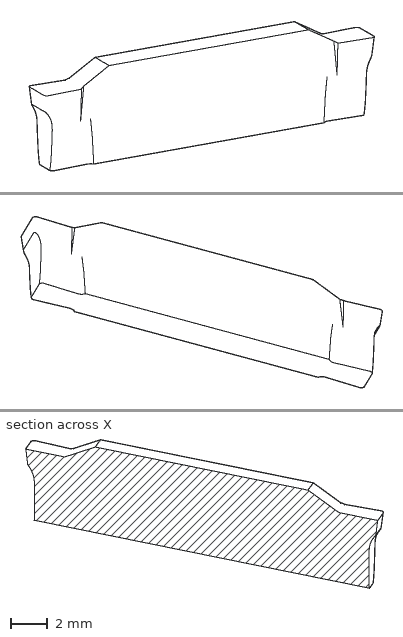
import cadquery as cq
import math


length = 20.65
edge_width = 1.98
height = 5.54
body_width = 1.6

edge_height = 4.5
front_relief_angle = 6.3
side_relief_angle = 3.0
back_taper_angle = 2.5
corner_radius = 0.2

land_bottom = 3.5
hollow_bottom = 2.43
front_setback = 0.5

ramp_angle = 30.0
ramp_start = 2.29
ramp_radius = 0.25

shoulder_start = 2.31
shoulder_angle = 28.0
runout_start = 2.8
runout_radius = 0.42

margin = 1.0

half_length = length / 2
front_slope = math.tan(math.radians(front_relief_angle))
side_slope = math.tan(math.radians(side_relief_angle))
taper_slope = math.tan(math.radians(back_taper_angle))


def flank_x(inset):
    """Half width of the end at cutting-edge height; it is widest just behind the corner radius."""
    return edge_width / 2 - taper_slope * (inset - corner_radius)


def lean_prism(plan):
    """Sweep a plan, given at cutting-edge height, over the full height, leaning by the side relief."""
    raised = plan.translate((side_slope * (height - edge_height), 0, height))
    return cq.Workplane(cq.Solid.extrudeLinear(raised, [], cq.Vector(-side_slope * height, 0, -height)))


def both_sides(solid):
    """The solid together with its mirror image across X = 0."""
    return solid.union(solid.mirror("YZ"))


def make_profile():
    """Lengthwise outline: top ramps, end lands and hollow front reliefs."""
    ramp_length = (height - edge_height) / math.tan(math.radians(ramp_angle))
    land_inset = front_slope * (edge_height - land_bottom)
    hollow_depth = front_setback - land_inset
    hollow_height = land_bottom - hollow_bottom
    hollow_radius = (hollow_depth**2 + hollow_height**2) / (2 * hollow_depth)
    half_sweep = math.asin(hollow_height / hollow_radius) / 2
    arc_inset = front_setback - hollow_radius * (1 - math.cos(half_sweep))
    arc_z = hollow_bottom + hollow_radius * math.sin(half_sweep)

    half = (
        cq.Workplane("YZ")
        .moveTo(0, 0)
        .lineTo(front_setback - half_length, 0)
        .lineTo(front_setback - half_length, hollow_bottom)
        .threePointArc((arc_inset - half_length, arc_z), (land_inset - half_length, land_bottom))
        .lineTo(-half_length, edge_height)
        .lineTo(ramp_start - half_length, edge_height)
        .lineTo(ramp_start + ramp_length - half_length, height)
        .lineTo(0, height)
        .close()
        .extrude(edge_width / 2 + margin, both=True)
    )
    ramp_foot = cq.selectors.NearestToPointSelector((0, ramp_start - half_length, edge_height))
    half = half.edges(ramp_foot).fillet(ramp_radius)
    return half.union(half.mirror("XZ"))


def make_relieved_blank():
    """Block with sloping fronts, relieved and back-tapered flanks and rounded front corners."""
    top_y = half_length + front_slope * (height - edge_height)
    bottom_y = half_length - front_slope * edge_height
    blank = (
        cq.Workplane("YZ")
        .polyline([(-bottom_y, 0), (bottom_y, 0), (top_y, height), (-top_y, height)])
        .close()
        .extrude(edge_width / 2 + margin, both=True)
    )
    outer_x = edge_width / 2 + 2 * margin
    arc_x = flank_x(runout_start) + runout_radius * (1 - math.cos(math.pi / 4))
    arc_y = runout_start + runout_radius * math.sin(math.pi / 4) - half_length
    runout_end_y = runout_start + runout_radius - half_length
    plan = (
        cq.Workplane("XY")
        .moveTo(flank_x(-margin), -margin - half_length)
        .lineTo(flank_x(runout_start), runout_start - half_length)
        .threePointArc((arc_x, arc_y), (flank_x(runout_start) + runout_radius, runout_end_y))
        .lineTo(outer_x, runout_end_y)
        .lineTo(outer_x, -margin - half_length)
        .close()
        .val()
    )
    flank = lean_prism(plan)
    for cutter in (flank, flank.mirror("XZ")):
        blank = blank.cut(both_sides(cutter))
    return blank.faces("<Y or >Y").edges("not |X").fillet(corner_radius)


def make_shoulder_cutter():
    """Stock beside the body, between the slanting shoulders of the two ends."""
    slope = math.tan(math.radians(shoulder_angle))
    outer_x = edge_width / 2 + 2 * margin
    inner_x = body_width / 2 - margin / 2
    inner_y = half_length - shoulder_start - (flank_x(shoulder_start) - inner_x) / slope
    shoulder_y = half_length - shoulder_start
    plan = (
        cq.Workplane("XY")
        .polyline([
            (inner_x, -inner_y),
            (flank_x(shoulder_start), -shoulder_y),
            (outer_x, -shoulder_y),
            (outer_x, shoulder_y),
            (flank_x(shoulder_start), shoulder_y),
            (inner_x, inner_y),
        ])
        .close()
        .val()
    )
    body = cq.Workplane("XY").box(body_width, 2 * length, 2 * height)
    return both_sides(lean_prism(plan)).cut(body)


result = make_relieved_blank().cut(make_shoulder_cutter()).intersect(make_profile())